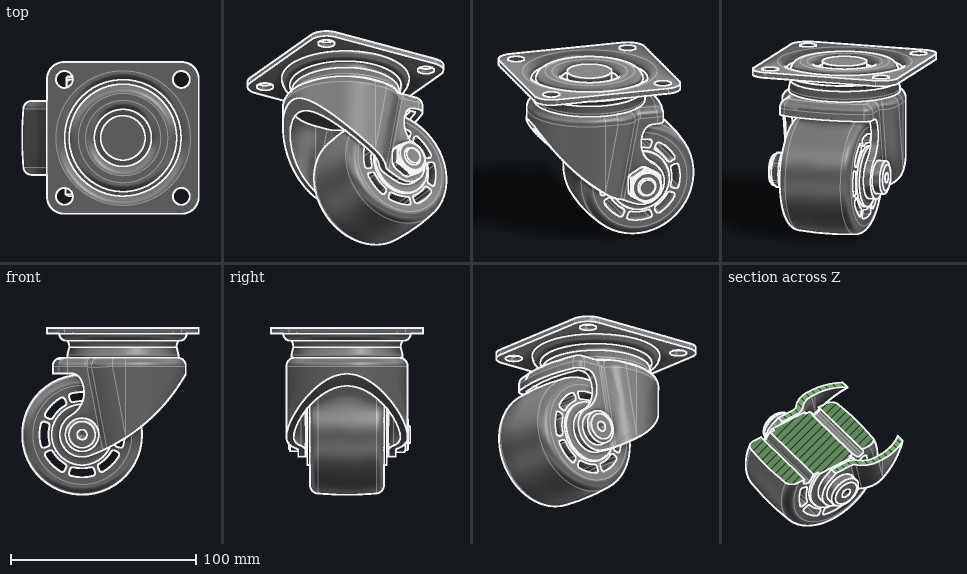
import cadquery as cq
import math


plate_side = 82.0
plate_thickness = 3.0
plate_corner_radius = 9.5
bolt_pitch = 63.0
bolt_hole_diameter = 9.0

race_floor_depth = 4.0
crest_radius = 5.0
groove_outer_radius = 31.4
groove_inner_radius = 29.0
recess_radius = 15.4
kingpin_radius = 12.0
pan_bottom = -(plate_thickness + race_floor_depth)
pan_edge_radius = 4.0
pan_radius = groove_outer_radius + plate_thickness

neck_radius = 30.0
waist_radius = 29.0
waist_z = -10.4
neck_sag = 0.3
neck_band_z = -14.3

axle_x = -22.0
axle_z = -57.5
axle_radius = 5.0
wheel_radius = 32.5
tread_edge_radius = 31.8
tread_half_width = 15.7
wheel_half_width = 20.0
wheel_face_radius = 26.7
hub_radius = 16.4
hub_half_width = 21.5
slot_count = 8
slot_inner_radius = 18.2
slot_outer_radius = 22.9
slot_half_angle = 19.0
slot_corner_radius = 1.5

wall = 4.0
fork_top = -16.0
arm_inner_y = 22.3
arm_outer_y = arm_inner_y + wall
dome_x = 1.3
dome_radius = 32.7
dome_edge_radius = 4.6
lip_bottom = -24.6
lip_front_x = -37.8
lip_front_radius = 84.0
lip_corner_radius = 5.0

ramp_start_x = -20.45
ramp_slope = 0.19
ramp_hollow_radius = 3.2
ramp_crest_radius = 14.9

boss_radius = 12.0
throat_radius = 14.6
throat_z = -34.6
throat_fillet = 5.7
belly_radius = 98.0
belly_angle = 20.0
arms_bottom = axle_z - 2 * boss_radius

head_radius = 9.0
head_length = 5.2
head_bevel = 1.9
head_bevel_length = 1.0
dimple_radius = 2.7
dimple_depth = 1.5
axle_end_y = 34.2
axle_chamfer = 0.7
axle_chamfer_length = 1.1
nut_across_flats = 17.0
nut_hex_length = 5.0
nut_edge_radius = 1.5
nut_end_bevel = 0.8
collar_radius = 8.5
collar_length = 1.8
collar_chamfer = 0.7


def polar(center, radius, angle):
    """Point at an angle (radians) on a circle."""
    return (center[0] + radius * math.cos(angle), center[1] + radius * math.sin(angle))


def along_axle(profile):
    """Revolve a (radius, y) profile about Y and move it onto the axle line."""
    turned = profile.close().revolve(360, (0, 0, 0), (0, 1, 0))
    return turned.translate((axle_x, 0, axle_z))


def axle_rod(radius, half_length):
    """Cylinder on the axle line, centred on the wheel."""
    rod = cq.Workplane("XZ").center(axle_x, axle_z).circle(radius)
    return rod.extrude(half_length, both=True)


def drill_axle(body):
    """Cut the through bore for the axle."""
    return body.cut(axle_rod(axle_radius, 2 * axle_end_y))


def quarter_crest(profile, start, end, center):
    """Add the rounded crest arc that runs from start to end about center."""
    middle = math.atan2(
        (start[1] + end[1]) / 2 - center[1],
        (start[0] + end[0]) / 2 - center[0],
    )
    return profile.threePointArc(polar(center, crest_radius, middle), end)


def make_plate():
    sheet = (
        cq.Workplane("XY")
        .workplane(offset=-plate_thickness)
        .rect(plate_side, plate_side)
        .extrude(plate_thickness)
        .edges("|Z")
        .fillet(plate_corner_radius)
        .faces(">Z")
        .workplane(origin=(0, 0, 0))
        .rect(bolt_pitch, bolt_pitch, forConstruction=True)
        .vertices()
        .hole(bolt_hole_diameter)
    )
    pan_arc_center = (pan_radius - pan_edge_radius, pan_bottom + pan_edge_radius)
    pan = (
        cq.Workplane("XZ")
        .lineTo(pan_radius, 0)
        .lineTo(pan_radius, pan_arc_center[1])
        .threePointArc(
            polar(pan_arc_center, pan_edge_radius, -math.pi / 4),
            (pan_arc_center[0], pan_bottom),
        )
        .lineTo(neck_radius, pan_bottom)
        .threePointArc(
            ((neck_radius + waist_radius) / 2 - neck_sag, (pan_bottom + waist_z) / 2),
            (waist_radius, waist_z),
        )
        .lineTo(0, waist_z)
        .close()
        .revolve(360, (0, 0, 0), (0, 1, 0))
    )
    plate = sheet.union(pan)
    return plate.cut(make_groove()).cut(make_recess())


def crest_run():
    """Radial width of a crest arc between the face and the floor of the pressing."""
    drop = crest_radius - race_floor_depth
    return math.sqrt(crest_radius ** 2 - drop ** 2)


def make_groove():
    floor = -race_floor_depth
    run = crest_run()
    outer = groove_outer_radius
    inner = groove_inner_radius
    profile = cq.Workplane("XZ").moveTo(inner - run, 0)
    profile = quarter_crest(profile, (inner - run, 0), (inner, floor), (inner - run, -crest_radius))
    profile = profile.lineTo(outer, floor)
    profile = quarter_crest(profile, (outer, floor), (outer + run, 0), (outer + run, -crest_radius))
    return profile.close().revolve(360, (0, 0, 0), (0, 1, 0))


def make_recess():
    """Ring-shaped recess around the head of the kingpin."""
    floor = -race_floor_depth
    rim = recess_radius + crest_run()
    profile = cq.Workplane("XZ").moveTo(kingpin_radius, 0).lineTo(kingpin_radius, floor)
    profile = profile.lineTo(recess_radius, floor)
    profile = quarter_crest(profile, (recess_radius, floor), (rim, 0), (rim, -crest_radius))
    return profile.close().revolve(360, (0, 0, 0), (0, 1, 0))


def plan_blank(inset, top, bottom, front_x):
    """Upright prism: curved lip, straight sides and a round back, inset by a wall."""
    half = dome_radius - inset
    arm = arm_outer_y - inset
    front = front_x + inset
    front_radius = lip_front_radius - inset
    corner_x = front + front_radius - math.sqrt(front_radius ** 2 - arm ** 2)
    blank = (
        cq.Workplane("XY")
        .workplane(offset=top)
        .moveTo(corner_x, -arm)
        .lineTo(ramp_start_x, -arm)
        .lineTo(ramp_start_x, -half)
        .lineTo(dome_x, -half)
        .threePointArc((dome_x + half, 0), (dome_x, half))
        .lineTo(ramp_start_x, half)
        .lineTo(ramp_start_x, arm)
        .lineTo(corner_x, arm)
        .threePointArc((front, 0), (corner_x, -arm))
        .close()
        .extrude(bottom - top)
    )
    return blank.edges("|Z").edges("<X").fillet(lip_corner_radius - inset)


def ramp_outline(inset, z):
    """Closed plan outline of the bulging arms at one height."""
    fold = ramp_start_x + ramp_slope * (fork_top - z)
    arm = arm_outer_y - inset
    half = dome_radius - inset
    hollow = ramp_hollow_radius + inset
    crest = ramp_crest_radius - inset
    turn = math.acos(1 - (half - arm) / (hollow + crest))
    hollow_center = (fold, arm + hollow)
    crest_center = (fold + (hollow + crest) * math.sin(turn), half - crest)
    down = -math.pi / 2
    up = math.pi / 2
    bend = polar(hollow_center, hollow, down + turn)
    hollow_middle = polar(hollow_center, hollow, down + turn / 2)
    crest_middle = polar(crest_center, crest, up + turn / 2)
    front = 3 * lip_front_x
    back = 2 * dome_radius
    return (
        cq.Workplane("XY")
        .workplane(offset=z)
        .moveTo(front, 0)
        .lineTo(front, arm)
        .lineTo(fold, arm)
        .threePointArc(hollow_middle, bend)
        .threePointArc(crest_middle, (crest_center[0], half))
        .lineTo(back, half)
        .lineTo(back, 0)
        .close()
        .val()
    )


def ramp_blank(inset, top, bottom):
    """Sheared prism whose sides step out from the arms to the dome along a leaning line."""
    half = cq.Workplane(
        cq.Solid.makeLoft([ramp_outline(inset, bottom), ramp_outline(inset, top)], True)
    )
    return half.union(half.mirror("XZ"))


def fork_blank(inset, top):
    """Fork before side trimming; below the lip the arms run on to the front."""
    head = plan_blank(inset, top, lip_bottom, lip_front_x)
    arms = plan_blank(inset, lip_bottom, arms_bottom, 2 * lip_front_x)
    return head.union(arms).intersect(ramp_blank(inset, top, arms_bottom))


def side_profile():
    """Prism with the side outline of the fork: lip, throat, axle boss and belly."""
    axle = (axle_x, axle_z)
    throat_rise = throat_z - axle_z
    throat_reach = math.sqrt((boss_radius + throat_radius) ** 2 - throat_rise ** 2)
    throat = (axle_x - throat_reach, throat_z)
    boss_start = math.atan2(throat_rise, -throat_reach)
    throat_end = boss_start - math.pi

    fillet_z = lip_bottom - throat_fillet
    throat_start = math.asin((fillet_z - throat_z) / (throat_radius - throat_fillet))
    fillet = polar(throat, throat_radius - throat_fillet, throat_start)

    belly_start = math.radians(belly_angle) - math.pi / 2
    belly = polar(axle, boss_radius - belly_radius, belly_start)
    back_x = dome_x + dome_radius
    belly_end = -math.acos((back_x - belly[0]) / belly_radius)
    boss_middle = (boss_start + belly_start + 2 * math.pi) / 2

    return (
        cq.Workplane("XZ")
        .moveTo(2 * lip_front_x, fork_top)
        .lineTo(2 * lip_front_x, lip_bottom)
        .lineTo(fillet[0], lip_bottom)
        .threePointArc(
            polar(fillet, throat_fillet, (math.pi / 2 + throat_start) / 2),
            polar(throat, throat_radius, throat_start),
        )
        .threePointArc(
            polar(throat, throat_radius, (throat_start + throat_end) / 2),
            polar(throat, throat_radius, throat_end),
        )
        .threePointArc(
            polar(axle, boss_radius, boss_middle),
            polar(axle, boss_radius, belly_start),
        )
        .threePointArc(
            polar(belly, belly_radius, (belly_start + belly_end) / 2),
            polar(belly, belly_radius, belly_end),
        )
        .lineTo(2 * back_x, polar(belly, belly_radius, belly_end)[1])
        .lineTo(2 * back_x, fork_top)
        .close()
        .extrude(2 * dome_radius, both=True)
    )


def make_neck():
    return (
        cq.Workplane("XZ")
        .moveTo(0, waist_z)
        .lineTo(waist_radius, waist_z)
        .lineTo(neck_radius, neck_band_z)
        .lineTo(neck_radius, fork_top)
        .lineTo(0, fork_top)
        .close()
        .revolve(360, (0, 0, 0), (0, 1, 0))
    )


def make_fork():
    outer = fork_blank(0, fork_top).faces(">Z").edges().fillet(dome_edge_radius)
    shell = outer.cut(fork_blank(wall, fork_top - wall))
    return drill_axle(shell.intersect(side_profile()).union(make_neck()))


def make_slots():
    """Ring of rounded slots that pass through the wheel."""
    half_angle = math.radians(slot_half_angle)
    center = (0, 0)
    slot = (
        cq.Workplane("XZ")
        .moveTo(*polar(center, slot_inner_radius, -half_angle))
        .threePointArc((slot_inner_radius, 0), polar(center, slot_inner_radius, half_angle))
        .lineTo(*polar(center, slot_outer_radius, half_angle))
        .threePointArc((slot_outer_radius, 0), polar(center, slot_outer_radius, -half_angle))
        .close()
        .extrude(2 * wheel_half_width, both=True)
        .edges("|Y")
        .fillet(slot_corner_radius)
    )
    slots = cq.Workplane("XY")
    for index in range(slot_count):
        slots = slots.add(slot.rotate((0, 0, 0), (0, 1, 0), index * 360 / slot_count))
    return slots.combine().translate((axle_x, 0, axle_z))


def make_wheel():
    shoulder_bulge = math.sqrt(0.5)
    shoulder_middle = (
        wheel_face_radius + shoulder_bulge * (tread_edge_radius - wheel_face_radius),
        tread_half_width + shoulder_bulge * (wheel_half_width - tread_half_width),
    )
    profile = (
        cq.Workplane("XY")
        .moveTo(0, -hub_half_width)
        .lineTo(hub_radius, -hub_half_width)
        .lineTo(hub_radius, -wheel_half_width)
        .lineTo(wheel_face_radius, -wheel_half_width)
        .threePointArc(
            (shoulder_middle[0], -shoulder_middle[1]),
            (tread_edge_radius, -tread_half_width),
        )
        .threePointArc((wheel_radius, 0), (tread_edge_radius, tread_half_width))
        .threePointArc(shoulder_middle, (wheel_face_radius, wheel_half_width))
        .lineTo(hub_radius, wheel_half_width)
        .lineTo(hub_radius, hub_half_width)
        .lineTo(0, hub_half_width)
    )
    return drill_axle(along_axle(profile).cut(make_slots()))


def make_bolt():
    head_y = -arm_outer_y - head_length
    profile = (
        cq.Workplane("XY")
        .moveTo(0, head_y + dimple_depth)
        .lineTo(dimple_radius, head_y)
        .lineTo(head_radius - head_bevel, head_y)
        .lineTo(head_radius, head_y + head_bevel_length)
        .lineTo(head_radius, -arm_outer_y)
        .lineTo(axle_radius, -arm_outer_y)
        .lineTo(axle_radius, axle_end_y - axle_chamfer_length)
        .lineTo(axle_radius - axle_chamfer, axle_end_y)
        .lineTo(0, axle_end_y)
    )
    return along_axle(profile)


def make_nut():
    corner_diameter = nut_across_flats / math.cos(math.pi / 6)
    hexagon = (
        cq.Workplane("XY")
        .polygon(6, corner_diameter)
        .extrude(nut_hex_length)
        .edges("|Z")
        .fillet(nut_edge_radius)
    )
    corner_radius = corner_diameter / 2
    bevel_cone = (
        cq.Workplane("XY")
        .circle(corner_radius)
        .extrude(nut_hex_length)
        .edges()
        .chamfer(nut_end_bevel)
    )
    collar = (
        cq.Workplane("XY")
        .workplane(offset=nut_hex_length)
        .circle(collar_radius)
        .extrude(collar_length)
        .faces(">Z")
        .edges()
        .chamfer(collar_chamfer)
    )
    nut = hexagon.intersect(bevel_cone).union(collar)
    nut = nut.rotate((0, 0, 0), (1, 0, 0), -90).rotate((0, 0, 0), (0, 1, 0), 90)
    return drill_axle(nut.translate((axle_x, arm_outer_y, axle_z)))


plate = make_plate()
fork = make_fork()
wheel = make_wheel()
bolt = make_bolt()
nut = make_nut()

result = cq.Compound.makeCompound(
    [plate.val(), fork.val(), wheel.val(), bolt.val(), nut.val()]
)